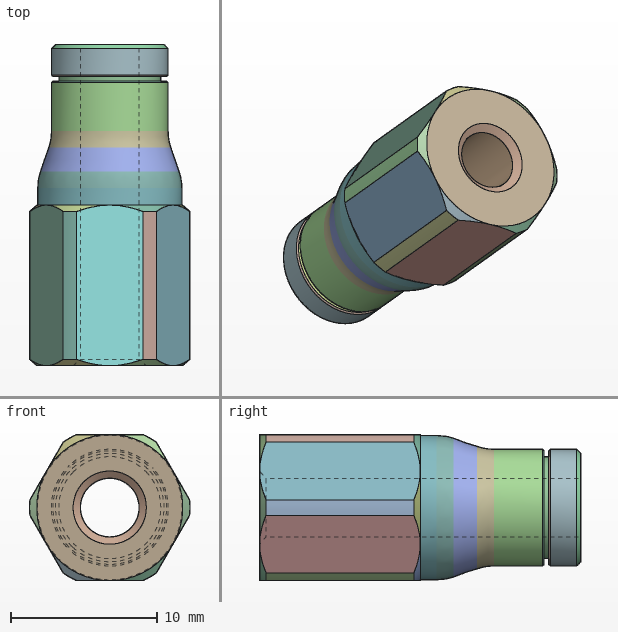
import cadquery as cq
import math

length = 22.0

hex_sides = 6
hex_length = 11.0
across_flats = 10.0
across_corners = 11.0
hex_chamfer_length = 0.45
hex_face_radius = across_flats / 2

collar_radius = 4.95
collar_length = 1.15
neck_arc_length = 1.15
neck_cone_length = 1.63
neck_arc_rise = 0.191

plug_radius = 4.0
plug_chamfer = 0.29
groove_radius = 3.5
groove_width = 0.3
groove_edge_chamfer = 0.1
groove_back_offset = 2.2

bore_diameter = 4.0
countersink_diameter = 5.02
countersink_depth = 0.45


def revolve_about_y(profile):
    return profile.close().revolve(360, (0, 0, 0), (0, 1, 0))


def make_hexagon():
    corner_radius = across_corners / 2
    sharp_corner_diameter = across_flats / math.cos(math.pi / hex_sides)
    prism = (
        cq.Workplane("XZ")
        .polygon(hex_sides, sharp_corner_diameter)
        .extrude(-hex_length)
    )
    turned_envelope = revolve_about_y(
        cq.Workplane("XY")
        .lineTo(hex_face_radius, 0)
        .lineTo(corner_radius, hex_chamfer_length)
        .lineTo(corner_radius, hex_length - hex_chamfer_length)
        .lineTo(hex_face_radius, hex_length)
        .lineTo(0, hex_length)
    )
    return prism.intersect(turned_envelope)


def make_plug():
    collar_end = hex_length + collar_length
    cone_start = collar_end + neck_arc_length
    cone_end = cone_start + neck_cone_length
    neck_end = cone_end + neck_arc_length
    groove_back = length - groove_back_offset
    groove_front = groove_back - groove_width
    groove_edge_radius = plug_radius - groove_edge_chamfer
    return revolve_about_y(
        cq.Workplane("XY")
        .moveTo(0, hex_length)
        .lineTo(collar_radius, hex_length)
        .lineTo(collar_radius, collar_end)
        .tangentArcPoint((collar_radius - neck_arc_rise, cone_start), relative=False)
        .lineTo(plug_radius + neck_arc_rise, cone_end)
        .tangentArcPoint((plug_radius, neck_end), relative=False)
        .lineTo(plug_radius, groove_front - groove_edge_chamfer)
        .lineTo(groove_edge_radius, groove_front)
        .lineTo(groove_radius, groove_front)
        .lineTo(groove_radius, groove_back)
        .lineTo(groove_edge_radius, groove_back)
        .lineTo(plug_radius, groove_back + groove_edge_chamfer)
        .lineTo(plug_radius, length - plug_chamfer)
        .lineTo(plug_radius - plug_chamfer, length)
        .lineTo(0, length)
    )


def make_bore():
    bore_radius = bore_diameter / 2
    return revolve_about_y(
        cq.Workplane("XY")
        .lineTo(countersink_diameter / 2, 0)
        .lineTo(bore_radius, countersink_depth)
        .lineTo(bore_radius, length)
        .lineTo(0, length)
    )


result = make_hexagon().union(make_plug()).cut(make_bore())